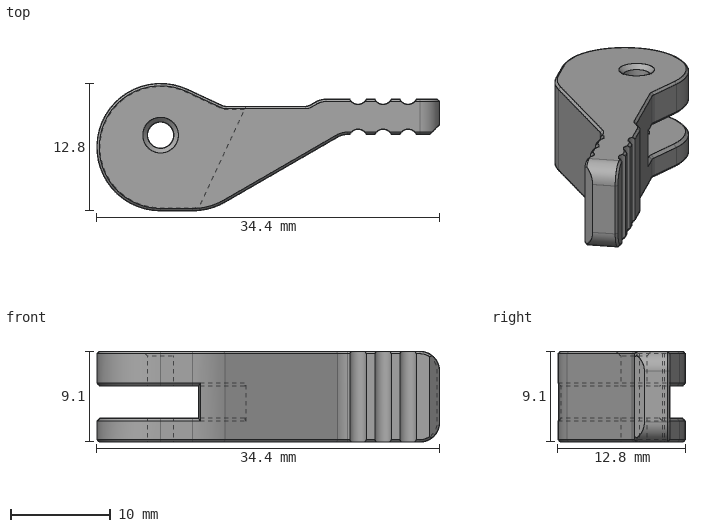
import cadquery as cq
import math

length = 34.4
head_radius = 6.4
height = 9.1
tip_x = length - head_radius

grip_back_y = 4.8
grip_thickness = 3.55
grip_front_y = grip_back_y - grip_thickness
grip_round = 2.0
tip_round = 2.0
tip_bevel = 1.0
edge_chamfer = 0.25

waist_y = 4.1
waist_slope = 25.0
waist_round = 1.0
waist_end_x = 14.8
rise_slope = 30.0
front_slope = 30.0
front_flat_end_x = 3.2
front_round = 6.55

groove_count = 3
groove_pitch = 2.5
groove_first_x = 19.8
groove_depth = 0.5
groove_radius = 0.93

slot_floor_z = 2.4
slot_height = 3.2
slot_end_x = 3.68
slot_chamfer = 0.3

pivot_y = 1.2
pivot_radius = 1.3
countersink_radius = 1.8

pick_reach = 0.05


def polar(radius, degrees):
    angle = math.radians(degrees)
    return (radius * math.cos(angle), radius * math.sin(angle))


def slope(degrees):
    return math.tan(math.radians(degrees))


def edge_at(body, x, y):
    """Upright edge of the body that stands at the point (x, y)."""
    low = (x - pick_reach, y - pick_reach, 0)
    high = (x + pick_reach, y + pick_reach, height)
    return body.edges("|Z").edges(cq.selectors.BoxSelector(low, high))


def make_blank():
    """Full-height outline with rounded corners."""
    back_tangent = polar(head_radius, 90 - waist_slope)
    waist_start_x = back_tangent[0] + (back_tangent[1] - waist_y) / slope(waist_slope)
    rise_end_x = waist_end_x + (grip_back_y - waist_y) / slope(rise_slope)
    front_corner_x = front_flat_end_x + front_round * slope(front_slope / 2)
    grip_start_x = front_corner_x + (head_radius + grip_front_y) / slope(front_slope)
    body = (
        cq.Workplane("XY")
        .moveTo(0, -head_radius)
        .lineTo(front_corner_x, -head_radius)
        .lineTo(grip_start_x, grip_front_y)
        .lineTo(tip_x, grip_front_y)
        .lineTo(tip_x, grip_back_y)
        .lineTo(rise_end_x, grip_back_y)
        .lineTo(waist_end_x, waist_y)
        .lineTo(waist_start_x, waist_y)
        .lineTo(*back_tangent)
        .threePointArc((-head_radius, 0), (0, -head_radius))
        .close()
        .extrude(height)
    )
    corners = [
        (front_corner_x, -head_radius, front_round),
        (grip_start_x, grip_front_y, grip_round),
        (rise_end_x, grip_back_y, grip_round),
        (waist_end_x, waist_y, waist_round),
        (waist_start_x, waist_y, waist_round),
    ]
    for x, y, radius in corners:
        body = edge_at(body, x, y).fillet(radius)
    return body


def round_tip(body):
    """Round the tip, then chamfer the whole rim and bevel the front of the tip."""
    body = body.faces(">X").edges("|Y").fillet(tip_round)
    body = body.faces("<Z or >Z").edges().chamfer(edge_chamfer)
    bevel = (
        cq.Workplane("XY")
        .moveTo(tip_x - tip_bevel, grip_front_y)
        .lineTo(tip_x + tip_bevel, grip_front_y + 2 * tip_bevel)
        .lineTo(tip_x + tip_bevel, grip_front_y - tip_bevel)
        .lineTo(tip_x - tip_bevel, grip_front_y - tip_bevel)
        .close()
        .extrude(height)
    )
    return body.cut(bevel)


def cut_grooves(body):
    offset = groove_radius - groove_depth
    places = []
    for i in range(groove_count):
        x = groove_first_x + i * groove_pitch
        places += [(x, grip_back_y + offset), (x, grip_front_y - offset)]
    return body.cut(cq.Workplane("XY").pushPoints(places).circle(groove_radius).extrude(height))


def cut_slot(body):
    """Slot that parts the head into two arms; its end wall is square to the waist slope."""
    reach = 2 * head_radius
    slant = reach * slope(waist_slope)
    wall_x = slot_end_x + head_radius * slope(waist_slope)
    slot = (
        cq.Workplane("XY", origin=(0, 0, slot_floor_z))
        .moveTo(-reach, -reach)
        .lineTo(wall_x - slant, -reach)
        .lineTo(wall_x + slant, reach)
        .lineTo(-reach, reach)
        .close()
        .extrude(slot_height)
    )
    body = body.cut(slot)
    slot_top_z = slot_floor_z + slot_height
    wall_direction = cq.Vector(slope(waist_slope), 1, 0)
    rim = body.edges(
        cq.selectors.BoxSelector(
            (-reach, -reach, slot_floor_z - slot_chamfer),
            (reach, reach, slot_top_z + slot_chamfer),
            boundingbox=True,
        )
        - cq.selectors.ParallelDirSelector(wall_direction)
        - cq.selectors.BoxSelector(
            (0, waist_y - slot_chamfer, slot_floor_z + slot_chamfer),
            (reach, waist_y + slot_chamfer, slot_top_z - slot_chamfer),
        )
    )
    return rim.chamfer(slot_chamfer)


def drill_pivot(body):
    """Pivot hole through both arms, countersunk on the top."""
    hole = cq.Workplane("XY").center(0, pivot_y).circle(pivot_radius).extrude(height)
    depth = countersink_radius - pivot_radius
    cone = cq.Solid.makeCone(
        pivot_radius, countersink_radius, depth, pnt=cq.Vector(0, pivot_y, height - depth)
    )
    return body.cut(hole).cut(cq.Workplane(cone))


result = drill_pivot(cut_slot(cut_grooves(round_tip(make_blank()))))